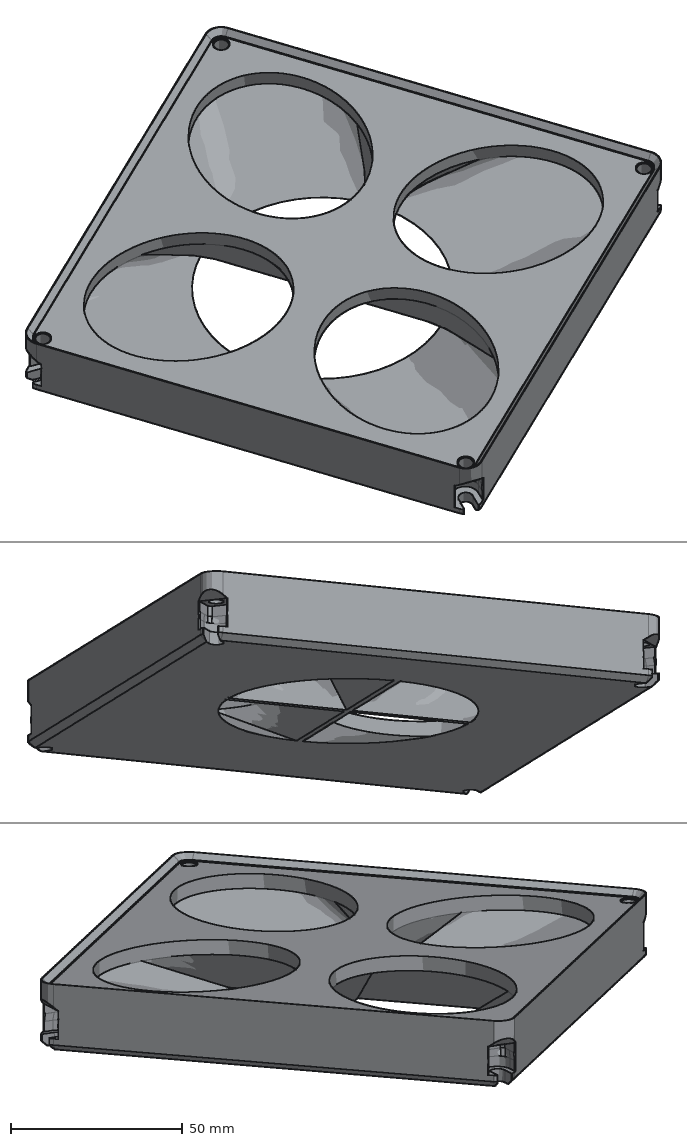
import cadquery as cq
import math

side = 144.0
height = 20.4
corner_radius = 5.0
foot_chamfer = 1.9
lip_land = 0.2
lip_taper = 1.8
lip_step = 0.4
floor_z = height - lip_taper - lip_step

opening_offset = 34.5
opening_long_radius = 31.3
opening_short_radius = 26.1
opening_depth = 4.5
loft_top_z = floor_z - opening_depth

outlet_x = -7.3
outlet_y = 1.4
outlet_radius = 38.0
cross_thickness = 2.0

screw_offset = side / 2 - corner_radius
face_distance = corner_radius * math.sqrt(2)
screw_clearance = 4.4
hole_rim_diameter = 5.0
head_floor_z = 3.8
head_top_z = 7.0
head_width = 8.4
head_centre = -0.5
nut_bottom_z = 9.3
nut_top_z = 12.4
nut_width = 8.5
nut_chamfer = 1.0
nut_back = -4.5
roof_start = 2.5
mouth_break = 0.6
slot_break = 0.4
station_reach = 8.0

FLARE = -45.0
CORNERS = [(1, 1), (-1, 1), (-1, -1), (1, -1)]


def rounded_square(width, radius, z):
    plane = cq.Workplane("XY", origin=(0, 0, z))
    return plane.sketch().rect(width, width).vertices().fillet(radius).finalize()


def make_plate():
    """Rounded square with a chamfered foot and a recessed top inside a tapered lip."""
    plate = rounded_square(side, corner_radius, 0).extrude(height).faces("<Z").edges().chamfer(foot_chamfer)
    recess_inset = lip_land + lip_taper
    recess_width = side - 2 * recess_inset
    recess_radius = corner_radius - recess_inset
    step = rounded_square(recess_width, recess_radius, floor_z).extrude(lip_step)
    taper = rounded_square(recess_width, recess_radius, floor_z + lip_step).extrude(lip_taper, taper=FLARE)
    return plate.cut(step).cut(taper)


def opening_ellipse(sx, sy, z):
    """Ellipse whose seam lies on the inner end of its long axis."""
    return cq.Wire.makeEllipse(
        opening_long_radius,
        opening_short_radius,
        cq.Vector(sx * opening_offset, sy * opening_offset, z),
        cq.Vector(0, 0, 1),
        cq.Vector(-sx, -sy, 0),
    )


def outlet_quarter(sx, sy):
    """Quarter of the outlet circle, set back from the cross by half its thickness."""
    half_wall = cross_thickness / 2
    reach = math.sqrt(outlet_radius**2 - half_wall**2)
    middle = outlet_radius * math.sqrt(0.5)
    return (
        cq.Workplane("XY", origin=(outlet_x, outlet_y, 0))
        .moveTo(sx * half_wall, sy * half_wall)
        .lineTo(sx * reach, sy * half_wall)
        .threePointArc((sx * middle, sy * middle), (sx * half_wall, sy * reach))
        .close()
        .val()
    )


def make_duct(sx, sy):
    """Straight elliptical mouth and the loft from it down to one quarter of the outlet."""
    ellipse = opening_ellipse(sx, sy, loft_top_z)
    mouth = cq.Solid.extrudeLinear(ellipse, [], cq.Vector(0, 0, height - loft_top_z))
    loft = cq.Solid.makeLoft([outlet_quarter(sx, sy), ellipse], True)
    return [mouth, loft]


def mouth_points(half_width):
    """Open end of a wide pocket's -Y wall, with its sharp edge at the flat side broken."""
    edge = face_distance - half_width
    along = mouth_break * math.sqrt(0.5)
    return [
        (edge - mouth_break, -half_width),
        (edge - along, -half_width - along),
        (station_reach, -half_width - along),
    ]


def slot_mouth_points(half_width):
    """Open end of the screw slot's -Y wall, which meets the rounded corner."""
    edge = math.sqrt(corner_radius**2 - half_width**2)
    skin_angle = math.asin(half_width / corner_radius)
    broken_x = edge - slot_break * math.sin(skin_angle)
    broken_y = -half_width - slot_break * math.cos(skin_angle)
    return [(edge - slot_break, -half_width), (broken_x, broken_y), (station_reach, broken_y)]


def mirrored(points):
    return [(x, -y) for x, y in reversed(points)]


def slot_outline(width, centre, mouth, z):
    """Slot with a round inner end, open toward the corner through the given mouth."""
    half = width / 2
    outline = cq.Workplane("XY", origin=(0, 0, z)).moveTo(centre, -half)
    for point in mouth + mirrored(mouth) + [(centre, half)]:
        outline = outline.lineTo(*point)
    return outline.threePointArc((centre - half, 0), (centre, -half)).close()


def head_outline(z):
    return slot_outline(head_width, head_centre, mouth_points(head_width / 2), z)


def nut_outline(z):
    """Square pocket with cut inner corners, open toward the corner."""
    half = nut_width / 2
    lower_side = [(nut_back, nut_chamfer - half), (nut_back + nut_chamfer, -half)] + mouth_points(half)
    return cq.Workplane("XY", origin=(0, 0, z)).polyline(lower_side + mirrored(lower_side)).close()


def make_screw_hole():
    """Clearance hole down from the top face, lightly countersunk, and the slot through the bottom floor."""
    radius = screw_clearance / 2
    rim = (hole_rim_diameter - screw_clearance) / 2
    hole = cq.Workplane("XY", origin=(0, 0, head_floor_z)).circle(radius).extrude(floor_z - head_floor_z)
    countersink = cq.Workplane("XY", origin=(0, 0, floor_z - rim)).circle(radius).extrude(rim, taper=FLARE)
    slot = slot_outline(screw_clearance, 0, slot_mouth_points(radius), 0).extrude(head_floor_z)
    return hole.union(countersink).union(slot)


def make_pocket():
    """Head pocket, nut pocket, the transition between them, and a 45 degree roof at the mouth."""
    head = head_outline(head_floor_z).extrude(head_top_z - head_floor_z)
    nut = nut_outline(nut_bottom_z).extrude(nut_top_z - nut_bottom_z)
    transition = cq.Solid.makeLoft([head_outline(head_top_z).val(), nut_outline(nut_bottom_z).val()], True)
    roof_length = station_reach - roof_start
    roof = (
        cq.Workplane("XZ", origin=(roof_start, 0, nut_top_z))
        .polyline([(0, 0), (roof_length, 0), (roof_length, roof_length)])
        .close()
        .extrude(nut_width / 2 + mouth_break, both=True)
    )
    return head.union(cq.Workplane(transition)).union(nut).union(roof)


result = make_plate()
station = make_screw_hole().union(make_pocket())
for sx, sy in CORNERS:
    for duct_part in make_duct(sx, sy):
        result = result.cut(cq.Workplane(duct_part))
    diagonal_angle = math.degrees(math.atan2(sy, sx))
    turned = station.rotate((0, 0, 0), (0, 0, 1), diagonal_angle)
    result = result.cut(turned.translate((sx * screw_offset, sy * screw_offset, 0)))